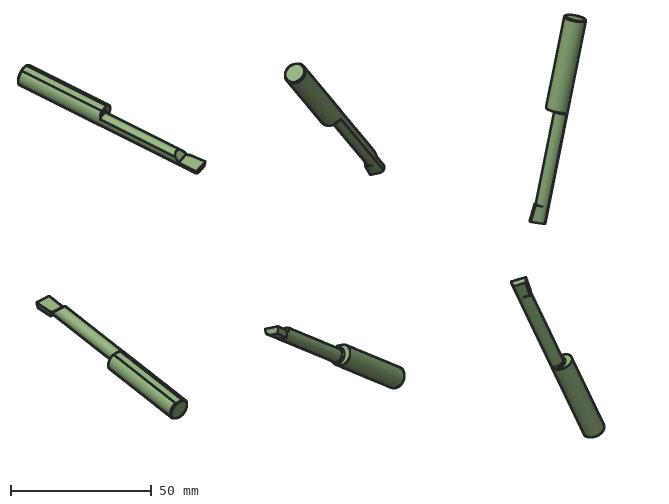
import cadquery as cq
import math

overall_length = 76.2
shank_diameter = 7.9375
shank_length = 34.29
shank_flat_height = 3.68
end_chamfer = 0.35

neck_diameter = 5.08
neck_offset = 1.68
neck_root_size = 0.635

ramp_end = 68.55
ramp_angle = 45.0
head_start = 69.5
tip_reach = 1.78
head_back_angle = 5.0
relief_angle = 8.0
end_edge_angle = 2.0

shank_radius = shank_diameter / 2
neck_radius = neck_diameter / 2
neck_root_radius = neck_radius + neck_root_size
head_length = overall_length - head_start
head_start_y = tip_reach - head_length * math.tan(math.radians(head_back_angle))
ramp_rise = shank_radius
ramp_run = ramp_rise / math.tan(math.radians(ramp_angle))
relief_setback = neck_radius * math.tan(math.radians(relief_angle))


def make_shank():
    """Round shank with a chamfered rear end and a flat along its top."""
    shank = (
        cq.Workplane("YZ")
        .circle(shank_radius)
        .extrude(shank_length)
        .faces("<X")
        .chamfer(end_chamfer)
    )
    below_flat = cq.Workplane("XY").box(
        shank_length, shank_diameter, shank_diameter, centered=(False, True, False)
    ).translate((0, 0, shank_flat_height - shank_diameter))
    return shank.intersect(below_flat)


def make_neck():
    """Eccentric round neck with a conical root, kept inside the shank diameter."""
    neck = (
        cq.Workplane("XY")
        .moveTo(shank_length, -neck_offset)
        .lineTo(shank_length, neck_root_radius - neck_offset)
        .lineTo(shank_length + neck_root_size, neck_radius - neck_offset)
        .lineTo(overall_length, neck_radius - neck_offset)
        .lineTo(overall_length, -neck_offset)
        .close()
        .revolve(360, (0, -neck_offset, 0), (1, -neck_offset, 0))
    )
    shank_envelope = cq.Workplane("YZ").circle(shank_radius).extrude(overall_length)
    return neck.intersect(shank_envelope)


def make_head():
    """Cutting head on the +Y side, with a flank that leans in below the rake face."""
    upper_outline = [
        (head_start, -neck_offset),
        (head_start, head_start_y),
        (overall_length, tip_reach),
        (overall_length, -neck_offset),
    ]
    lower_outline = [
        (head_start, -neck_offset),
        (head_start, head_start_y - relief_setback),
        (overall_length, tip_reach - relief_setback),
        (overall_length, -neck_offset),
    ]
    return (
        cq.Workplane("XY")
        .polyline(upper_outline)
        .close()
        .workplane(offset=-neck_radius)
        .polyline(lower_outline)
        .close()
        .loft(ruled=True)
    )


def make_rake_cut():
    """Space above the rake face and its ramp; the rake face lies on the shank axis."""
    return (
        cq.Workplane("XZ")
        .moveTo(ramp_end, 0)
        .lineTo(overall_length, 0)
        .lineTo(overall_length, ramp_rise)
        .lineTo(ramp_end - ramp_run, ramp_rise)
        .close()
        .extrude(shank_radius, both=True)
    )


def make_end_relief_cut():
    """Material ahead of the end face, which leans back below and beside the corner."""
    cutter_size = 2 * shank_diameter
    cutter = cq.Workplane("XY").box(
        cutter_size, 2 * cutter_size, 2 * cutter_size, centered=(False, True, True)
    )
    cutter = cutter.rotate((0, 0, 0), (0, 1, 0), relief_angle)
    cutter = cutter.rotate((0, 0, 0), (0, 0, 1), -end_edge_angle)
    return cutter.translate((overall_length, tip_reach, 0))


bar = make_shank().union(make_neck()).cut(make_rake_cut()).union(make_head())
result = bar.cut(make_end_relief_cut())